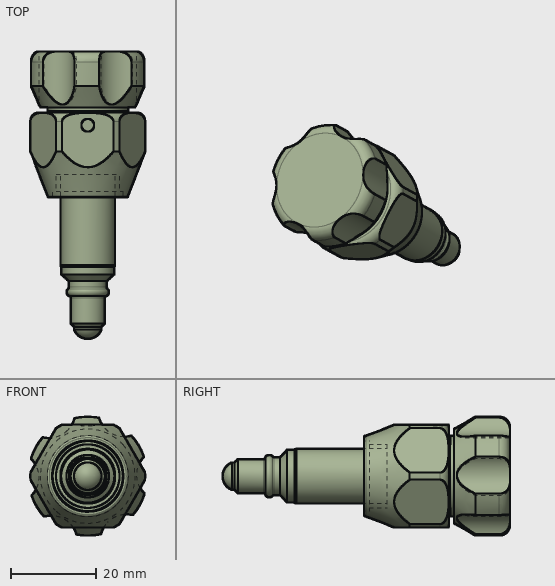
import cadquery as cq
import math

overall_length = 67.5

dome_height = 2.2
dome_radius = 6.5 / 2
dome_land_end = 2.85
pin_radius = 8.0 / 2
pin_chamfer = pin_radius - dome_radius
pin_end = 9.65
bead_fillet = 0.4
bead_start = pin_end + bead_fillet
bead_radius = 10.0 / 2
bead_end = 11.75
neck_radius = 9.0 / 2
neck_end = 13.55
shoulder_radius = 12.5 / 2
shoulder_start = 15.2
shoulder_end = 16.9
shaft_start = 17.35
shaft_radius = 12.9 / 2

nut_start = 33.2
nut_end = 53.2
nut_front_radius = 19.0 / 2
nut_front_round = 0.5
nut_radius = 13.5
nut_cone_end = 43.95
nut_back_round = 2.15
nut_across_flats = 24.15
mouth_diameter = 16.5
mouth_depth = 1.35
mouth_chamfer = 0.15
bore_diameter = 14.9
bore_depth = 5.4

marker_y = 50.15
marker_diameter = 3.0
marker_hole_diameter = 3.05
marker_gap_depth = 0.35

spindle_radius = 15.0 / 2
collar_start = 53.45
collar_radius = 19.0 / 2
knob_start = 54.3
knob_radius = 27.95 / 2
knob_cone_end = 59.3
knob_cone_angle = 30.0
knob_back_round = 2.55
flute_count = 6
flute_radius = 6.1
flute_floor = 11.5
knob_turn = 1.0


def revolve(profile):
    """Turn a closed radius-and-length outline about the Y axis."""
    return profile.close().revolve(360, (0, 0, 0), (0, 1, 0))


def cylinder(radius, start, end):
    """Round bar along Y between two positions."""
    return cq.Workplane("XZ", origin=(0, start, 0)).circle(radius).extrude(start - end)


def make_stem():
    dome_sphere = (dome_radius**2 + dome_height**2) / (2 * dome_height)
    half_angle = math.asin(dome_radius / dome_sphere) / 2
    dome_mid = (dome_sphere * math.sin(half_angle), dome_sphere * (1 - math.cos(half_angle)))
    profile = (
        cq.Workplane("XY")
        .threePointArc(dome_mid, (dome_radius, dome_height))
        .lineTo(dome_radius, dome_land_end)
        .lineTo(pin_radius, dome_land_end + pin_chamfer)
        .lineTo(pin_radius, pin_end)
        .radiusArc((pin_radius + bead_fillet, bead_start), bead_fillet)
        .threePointArc((bead_radius, (bead_start + bead_end) / 2), (neck_radius + bead_fillet / 2, bead_end))
        .radiusArc((neck_radius, bead_end + bead_fillet), bead_fillet)
        .lineTo(neck_radius, neck_end)
        .lineTo(shoulder_radius, shoulder_start)
        .lineTo(shoulder_radius, shoulder_end)
        .lineTo(shaft_radius, shaft_start)
        .lineTo(shaft_radius, nut_end)
        .lineTo(0, nut_end)
    )
    return revolve(profile)


def make_nut():
    profile = (
        cq.Workplane("XY")
        .moveTo(0, nut_start)
        .lineTo(nut_front_radius - nut_front_round, nut_start)
        .radiusArc((nut_front_radius, nut_start + nut_front_round), -nut_front_round)
        .lineTo(nut_radius, nut_cone_end)
        .lineTo(nut_radius, nut_end - nut_back_round)
        .radiusArc((nut_radius - nut_back_round, nut_end), -nut_back_round)
        .lineTo(0, nut_end)
    )
    across_corners = nut_across_flats / math.cos(math.pi / 6)
    hexagon = cq.Workplane("XZ").polygon(6, across_corners).extrude(-overall_length)
    nut = revolve(profile).intersect(hexagon)
    nut = nut.cut(cylinder(mouth_diameter / 2, nut_start, nut_start + mouth_depth))
    mouth_edge = cq.selectors.RadiusNthSelector(0)
    nut = nut.faces("<Y").edges(mouth_edge).chamfer(mouth_chamfer)
    nut = nut.cut(cylinder(bore_diameter / 2, nut_start, nut_start + bore_depth))
    marker_gap = (
        cq.Workplane("XY", origin=(0, marker_y, nut_across_flats / 2))
        .circle(marker_hole_diameter / 2)
        .circle(marker_diameter / 2)
        .extrude(-marker_gap_depth)
    )
    return nut.cut(marker_gap)


def make_knob():
    cone_rise = (knob_cone_end - knob_start) * math.tan(math.radians(knob_cone_angle))
    profile = (
        cq.Workplane("XY")
        .moveTo(0, knob_start)
        .lineTo(knob_radius - cone_rise, knob_start)
        .lineTo(knob_radius, knob_cone_end)
        .lineTo(knob_radius, overall_length - knob_back_round)
        .radiusArc((knob_radius - knob_back_round, overall_length), -knob_back_round)
        .lineTo(0, overall_length)
    )
    flutes = (
        cq.Workplane("XZ", origin=(0, knob_start, 0))
        .polarArray(flute_floor + flute_radius, knob_turn, 360, flute_count)
        .circle(flute_radius)
        .extrude(knob_start - overall_length)
    )
    return revolve(profile).cut(flutes)


spindle = cylinder(spindle_radius, nut_end, collar_start)
collar = cylinder(collar_radius, collar_start, knob_start)
result = make_stem().union(make_nut()).union(spindle).union(collar).union(make_knob())